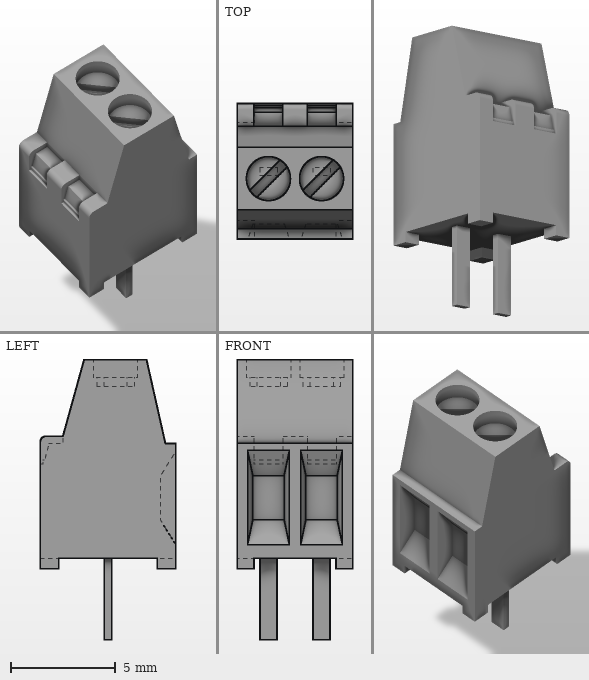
import cadquery as cq

poles = 2
pitch = 2.54
end_wall_extra = 0.23
width = poles * pitch + 2 * end_wall_extra
depth = 6.5
body_height = 10.0

roof_depth = 3.0
roof_center_y = -0.35
front_shelf_depth = 0.5
front_shelf_z = 6.0
rear_ledge_depth = 1.09
rear_ledge_z = 6.35
rear_fillet = 0.3

foot_height = 0.5
foot_width = 0.82
foot_depth = 0.9

entry_width = 2.0
entry_height = 4.52
entry_center_z = 3.4
entry_inner_width = 1.5
entry_inner_height = 2.12
entry_depth = 0.75

screw_diameter = 2.11
screw_recess = 0.83
driver_slot_width = 0.48
driver_slot_depth = 0.45
driver_slot_angle = 45

notch_width = 1.39
notch_floor_drop = 0.35
notch_ramp_height = 0.78
notch_riser = 0.2
notch_ramp_top_inset = 0.42
notch_upper_tread_inset = 0.21
notch_lower_tread_inset = 0.12

pin_width = 0.82
pin_thickness = 0.38
pin_length = 3.4

front_y = -depth / 2
rear_y = depth / 2
pole_centers = [(i - (poles - 1) / 2) * pitch for i in range(poles)]


def make_housing():
    profile = [
        (front_y, 0),
        (rear_y, 0),
        (rear_y, rear_ledge_z),
        (rear_y - rear_ledge_depth, rear_ledge_z),
        (roof_center_y + roof_depth / 2, body_height),
        (roof_center_y - roof_depth / 2, body_height),
        (front_y + front_shelf_depth, front_shelf_z),
        (front_y, front_shelf_z),
    ]
    housing = cq.Workplane("YZ").polyline(profile).close().extrude(width / 2, both=True)
    rear_top_edge = cq.selectors.NearestToPointSelector((0, rear_y, rear_ledge_z))
    return housing.edges(rear_top_edge).fillet(rear_fillet)


def make_foot_clearance():
    """Cross-shaped channel under the housing that leaves a foot at each corner."""
    along_y = cq.Workplane("XY").rect(width - 2 * foot_width, depth).extrude(foot_height)
    along_x = cq.Workplane("XY").rect(width, depth - 2 * foot_depth).extrude(foot_height)
    return along_y.union(along_x)


def make_wire_entry(x):
    return (
        cq.Workplane("XZ", origin=(x, front_y, entry_center_z))
        .rect(entry_width, entry_height)
        .workplane(offset=-entry_depth)
        .rect(entry_inner_width, entry_inner_height)
        .loft(ruled=True)
    )


def make_screw_recess(x):
    """Round well down to the screw head, with the driver slot sunk into the head."""
    screw_z = body_height - screw_recess
    radius = screw_diameter / 2
    well = cq.Workplane("XY", origin=(x, roof_center_y, screw_z)).circle(radius).extrude(screw_recess)
    slot_origin = (x, roof_center_y, screw_z - driver_slot_depth)
    slot_bar = (
        cq.Workplane("XY", origin=slot_origin)
        .transformed(rotate=(0, 0, driver_slot_angle))
        .rect(screw_diameter, driver_slot_width)
        .extrude(driver_slot_depth)
    )
    head = cq.Workplane("XY", origin=slot_origin).circle(radius).extrude(driver_slot_depth)
    return well.union(slot_bar.intersect(head))


def make_rear_notch(x):
    floor_z = rear_ledge_z - notch_floor_drop
    upper_tread_z = floor_z - notch_ramp_height
    lower_tread_z = upper_tread_z - notch_riser
    profile = [
        (rear_y - rear_ledge_depth, rear_ledge_z),
        (rear_y - rear_ledge_depth, floor_z),
        (rear_y - notch_ramp_top_inset, floor_z),
        (rear_y - notch_upper_tread_inset, upper_tread_z),
        (rear_y - notch_lower_tread_inset, upper_tread_z),
        (rear_y - notch_lower_tread_inset, lower_tread_z),
        (rear_y, lower_tread_z),
        (rear_y, rear_ledge_z),
    ]
    notch = cq.Workplane("YZ", origin=(x, 0, 0)).polyline(profile).close()
    return notch.extrude(notch_width / 2, both=True)


def make_pin(x):
    return (
        cq.Workplane("XY", origin=(x, 0, foot_height))
        .rect(pin_width, pin_thickness)
        .extrude(-(foot_height + pin_length))
    )


result = make_housing().cut(make_foot_clearance())
for pole_x in pole_centers:
    result = result.cut(make_wire_entry(pole_x))
    result = result.cut(make_screw_recess(pole_x))
    result = result.cut(make_rear_notch(pole_x))
    result = result.union(make_pin(pole_x))